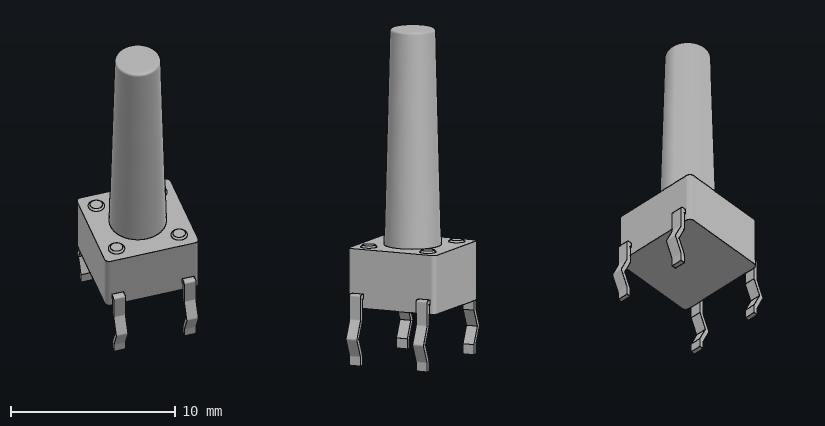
import cadquery as cq
import math

body_width = 5.99
body_corner_radius = 0.3
body_top = 3.65
cover_thickness = 0.25

button_top = 17.01
button_base_radius = 1.75
button_top_radius = 1.4
button_edge_radius = 0.2

rivet_spacing = 4.0
rivet_base_radius = 0.5
rivet_top_radius = 0.38
rivet_height = 0.12

terminal_spacing = 4.5
terminal_width = 0.75
terminal_thickness = 0.3
terminal_outer_x = 3.4
terminal_apex_x = 3.915
terminal_top = 0.9
terminal_tip = -3.5
apex_z = -1.8
kink_offset_z = 1.13
shoulder_radius = 0.15
apex_radius = 0.15
kink_radius = 0.15
terminal_embed = 0.5


def make_housing():
    def block(bottom, height):
        return (
            cq.Workplane("XY", origin=(0, 0, bottom))
            .rect(body_width, body_width)
            .extrude(height)
            .edges("|Z")
            .fillet(body_corner_radius)
        )

    cover_bottom = body_top - cover_thickness
    return block(0, cover_bottom).union(block(cover_bottom, cover_thickness), clean=False)


def make_button():
    taper = cq.Solid.makeCone(button_base_radius, button_top_radius, button_top - body_top)
    return (
        cq.Workplane(taper.translate(cq.Vector(0, 0, body_top)))
        .faces(">Z")
        .edges()
        .fillet(button_edge_radius)
    )


def make_rivet(x, y):
    head = cq.Solid.makeCone(rivet_base_radius, rivet_top_radius, rivet_height)
    return cq.Workplane(head.translate(cq.Vector(x, y, body_top)))


def make_terminal():
    """Terminal on the +X side, centred on y = 0."""
    upper_kink = apex_z + kink_offset_z
    lower_kink = apex_z - kink_offset_z
    inner_x = terminal_outer_x - terminal_thickness
    root_x = body_width / 2 - terminal_embed
    flange_bottom = terminal_top - terminal_thickness

    bend_angle = math.atan2(terminal_apex_x - terminal_outer_x, kink_offset_z)
    inner_apex_x = terminal_apex_x - terminal_thickness / math.cos(bend_angle)
    miter = terminal_thickness * math.tan(bend_angle / 2)

    outline = [
        (root_x, terminal_top),
        (terminal_outer_x, terminal_top),
        (terminal_outer_x, upper_kink),
        (terminal_apex_x, apex_z),
        (terminal_outer_x, lower_kink),
        (terminal_outer_x, terminal_tip),
        (inner_x, terminal_tip),
        (inner_x, lower_kink + miter),
        (inner_apex_x, apex_z),
        (inner_x, upper_kink - miter),
        (inner_x, flange_bottom),
        (root_x, flange_bottom),
    ]
    strip = cq.Workplane("XZ").polyline(outline).close().extrude(terminal_width / 2, both=True)

    def round_edge(solid, x, z, radius):
        return solid.edges(cq.selectors.NearestToPointSelector((x, 0, z))).fillet(radius)

    strip = round_edge(strip, terminal_outer_x, terminal_top, shoulder_radius)
    strip = round_edge(strip, terminal_apex_x, apex_z, apex_radius)
    strip = round_edge(strip, terminal_outer_x, upper_kink, kink_radius)
    return round_edge(strip, terminal_outer_x, lower_kink, kink_radius)


result = make_housing().union(make_button(), clean=False)

for side_x in (-1, 1):
    for side_y in (-1, 1):
        rivet = make_rivet(side_x * rivet_spacing / 2, side_y * rivet_spacing / 2)
        result = result.union(rivet, clean=False)

terminal = make_terminal()
for side in (-1, 1):
    turned = terminal if side > 0 else terminal.mirror("YZ")
    for y in (-terminal_spacing / 2, terminal_spacing / 2):
        result = result.union(turned.translate((0, y, 0)), clean=False)